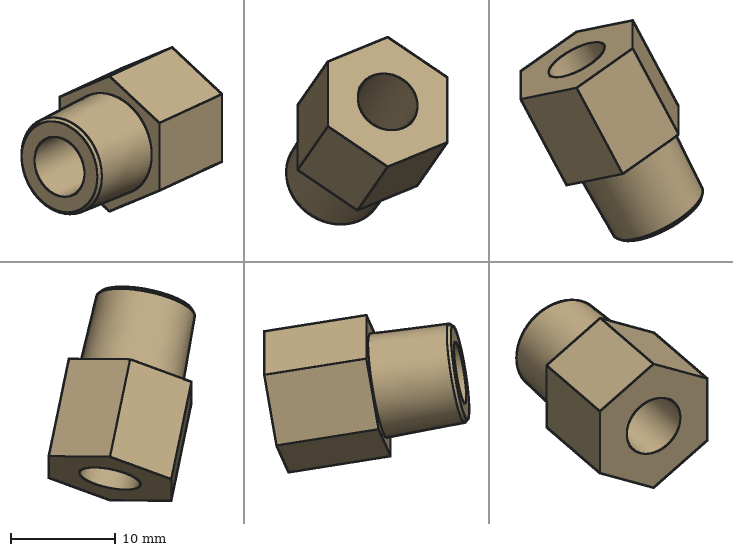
import cadquery as cq
import math

total_length = 18.0
across_flats = 12.0
hex_length = 10.0
bore_diameter = 6.0

root_diameter = 10.15
diameter_taper = 1 / 16
chamfer_length = 0.35
chamfer_depth = 0.29

spigot_length = total_length - hex_length
cone_length = spigot_length - chamfer_length
root_radius = root_diameter / 2
cone_end_radius = root_radius - cone_length * diameter_taper / 2
tip_radius = cone_end_radius - chamfer_depth


def hex_body():
    """Hexagonal prism from the shoulder to +Y, with flats on +X and -X."""
    across_corners = across_flats / math.cos(math.pi / 6)
    return (
        cq.Workplane("XZ", origin=(0, spigot_length, 0))
        .transformed(rotate=(0, 0, 90))
        .polygon(6, across_corners)
        .extrude(-hex_length)
    )


def tapered_spigot():
    """Cone with a chamfered tip at Y = 0, revolved about Y."""
    return (
        cq.Workplane("XY")
        .moveTo(0, 0)
        .lineTo(tip_radius, 0)
        .lineTo(cone_end_radius, chamfer_length)
        .lineTo(root_radius, spigot_length)
        .lineTo(0, spigot_length)
        .close()
        .revolve(360, (0, 0, 0), (0, 1, 0))
    )


def through_bore():
    """Cylinder along the whole axis."""
    return cq.Workplane("XZ").circle(bore_diameter / 2).extrude(-total_length)


result = hex_body().union(tapered_spigot()).cut(through_bore())